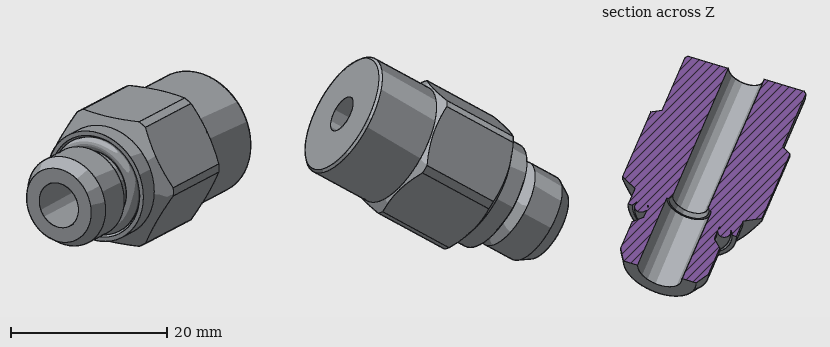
import cadquery as cq
import math

length = 32.5

thread_diameter = 12.0
tip_chamfer_length = 1.8
tip_chamfer_angle = 30.0
thread_end = 6.1
neck_diameter = 9.7

flange_start = 8.45
flange_end = 11.0
flange_diameter = 14.8
groove_mouth_diameter = 13.62
groove_wall_angle = 30.0
groove_depth = 0.65

ring_outer_diameter = 13.05
ring_front = 7.77
ring_bite = 0.03

across_flats = 17.0
across_corners = 19.0
hex_chamfer_angle = 30.0

barrel_diameter = 16.5
barrel_start = 23.53
barrel_chamfer = 0.32

tip_bore_diameter = 6.0
tip_bore_depth = 11.0
seat_diameter = 5.5
seat_angle = 30.0
through_diameter = 4.85


def tan_deg(angle):
    return math.tan(math.radians(angle))


def revolve_about_y(profile):
    """Close a (radius, y) half profile and turn it a full circle about Y."""
    return cq.Workplane("XY").polyline(profile).close().revolve(360, (0, 0, 0), (0, 1, 0))


def make_turned_body():
    thread_radius = thread_diameter / 2
    neck_radius = neck_diameter / 2
    flange_radius = flange_diameter / 2
    corner_radius = across_corners / 2
    barrel_radius = barrel_diameter / 2

    tip_radius = thread_radius - tip_chamfer_length * tan_deg(tip_chamfer_angle)
    neck_start = thread_end + thread_radius - neck_radius
    groove_floor = flange_start + groove_depth
    groove_mouth_radius = groove_mouth_diameter / 2
    groove_floor_radius = groove_mouth_radius - groove_depth * tan_deg(groove_wall_angle)
    hex_front = flange_end + (corner_radius - flange_radius) * tan_deg(hex_chamfer_angle)
    hex_back = barrel_start - (corner_radius - barrel_radius) * tan_deg(hex_chamfer_angle)

    return revolve_about_y([
        (0, 0),
        (tip_radius, 0),
        (thread_radius, tip_chamfer_length),
        (thread_radius, thread_end),
        (neck_radius, neck_start),
        (neck_radius, groove_floor),
        (groove_floor_radius, groove_floor),
        (groove_mouth_radius, flange_start),
        (flange_radius, flange_start),
        (flange_radius, flange_end),
        (corner_radius, hex_front),
        (corner_radius, hex_back),
        (barrel_radius, barrel_start),
        (barrel_radius, length - barrel_chamfer),
        (barrel_radius - barrel_chamfer, length),
        (0, length),
    ])


def make_hex_envelope():
    """Hexagonal prism along Y with two flats facing +Z and -Z."""
    sharp_corner_diameter = across_flats / math.cos(math.pi / 6)
    return cq.Workplane("XZ").polygon(6, sharp_corner_diameter).extrude(-length)


def make_seal_ring():
    """Round ring that bites slightly into the neck and sinks partly into the groove floor."""
    inner_radius = neck_diameter / 2 - ring_bite
    outer_radius = ring_outer_diameter / 2
    section_radius = (outer_radius - inner_radius) / 2
    center_radius = (outer_radius + inner_radius) / 2
    return (
        cq.Workplane("XY")
        .moveTo(center_radius, ring_front + section_radius)
        .circle(section_radius)
        .revolve(360, (0, 0, 0), (0, 1, 0))
    )


def make_bore():
    """Tip bore, flat shoulder, conical seat and through hole."""
    tip_bore_radius = tip_bore_diameter / 2
    seat_radius = seat_diameter / 2
    through_radius = through_diameter / 2
    seat_end = tip_bore_depth + (seat_radius - through_radius) / tan_deg(seat_angle)
    return revolve_about_y([
        (0, 0),
        (tip_bore_radius, 0),
        (tip_bore_radius, tip_bore_depth),
        (seat_radius, tip_bore_depth),
        (through_radius, seat_end),
        (through_radius, length),
        (0, length),
    ])


body = make_turned_body().intersect(make_hex_envelope())
result = body.union(make_seal_ring()).cut(make_bore())